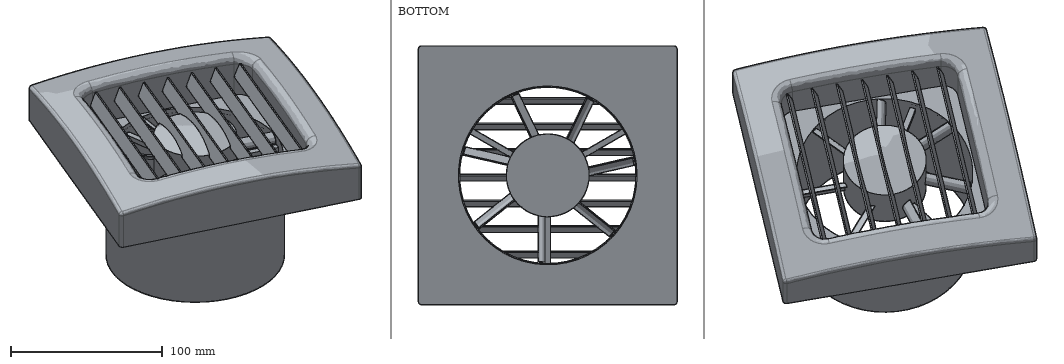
import cadquery as cq
import math

pipe_length = 74.9
pipe_outer_radius = 59.0
pipe_inner_radius = 58.1

frame_side = 171.0
frame_base_z = pipe_length
dome_radius = 564.3
dome_crest_z = 114.2
frame_edge_radius = 2.4
floor_thickness = 3.6

opening_side = 118.7
opening_corner_radius = 9.4
rim_radius = 5.6

slat_count = 7
slat_pitch = 17.0
slat_row_centre_y = 1.5
slat_top_z = 102.6
slat_height = 10.0
slat_lean = 3.6
slat_thickness = 1.0
slat_embed = 0.9

hub_radius = 27.4
hub_bottom_z = 61.5
hub_rim_z = 94.0
hub_cap_rise = 4.3

blade_count = 7
blade_tip_radius = 57.3
blade_left_offset = 6.3
blade_arc_radius = 5.8
blade_thickness = 0.9
blade_top_z = 79.5

arm_count = 3
arm_width = 4.0
arm_height = 3.5
arm_top_z = 71.8
pipe_embed = 0.3

first_spoke_angle = 90.0
root_radius = hub_radius / 2


def make_pipe():
    height = pipe_length + floor_thickness
    return cq.Workplane("XY").circle(pipe_outer_radius).circle(pipe_inner_radius).extrude(height)


def make_frame():
    frame_top = dome_crest_z - frame_base_z
    block = (
        cq.Workplane("XY", origin=(0, 0, frame_base_z))
        .rect(frame_side, frame_side)
        .extrude(frame_top)
    )
    ball = (
        cq.Workplane("XY")
        .sphere(dome_radius)
        .rotate((0, 0, 0), (1, 0, 0), 90)
        .translate((0, 0, dome_crest_z - dome_radius))
    )
    opening = (
        cq.Workplane("XY", origin=(0, 0, frame_base_z + floor_thickness))
        .rect(opening_side, opening_side)
        .extrude(frame_top)
        .edges("|Z")
        .fillet(opening_corner_radius)
    )
    frame = block.edges("|Z").fillet(frame_edge_radius).intersect(ball)
    frame = frame.faces("%SPHERE").edges().fillet(frame_edge_radius)
    frame = frame.cut(opening)

    rim_half = opening_side / 2 + frame_edge_radius
    rim_zone = cq.selectors.BoxSelector(
        (-rim_half, -rim_half, slat_top_z), (rim_half, rim_half, dome_crest_z)
    )
    frame = frame.edges(rim_zone).fillet(rim_radius)
    duct_hole = cq.Workplane("XY").circle(pipe_inner_radius).extrude(dome_crest_z)
    return frame.cut(duct_hole)


def make_slats():
    length = opening_side + 2 * slat_embed
    half_lean = (slat_lean + slat_thickness) / 2
    profile = [
        (half_lean, slat_top_z),
        (half_lean - slat_thickness, slat_top_z),
        (-half_lean, slat_top_z - slat_height),
        (-half_lean + slat_thickness, slat_top_z - slat_height),
    ]
    slat = cq.Workplane("YZ").polyline(profile).close().extrude(length / 2, both=True)
    slats = cq.Workplane("XY")
    for index in range(slat_count):
        y = slat_row_centre_y + (index - (slat_count - 1) / 2) * slat_pitch
        slats = slats.add(slat.translate((0, y, 0)))
    return slats.combine()


def make_hub():
    half_section = (
        cq.Workplane("XZ")
        .moveTo(0, hub_bottom_z)
        .lineTo(hub_radius, hub_bottom_z)
        .lineTo(hub_radius, hub_rim_z)
    )
    cap_radius = (hub_radius**2 + hub_cap_rise**2) / (2 * hub_cap_rise)
    mid_x = hub_radius / 2
    mid_z = hub_rim_z + hub_cap_rise - cap_radius + math.sqrt(cap_radius**2 - mid_x**2)
    half_section = half_section.threePointArc((mid_x, mid_z), (0, hub_rim_z + hub_cap_rise)).close()
    return half_section.revolve(360, (0, 0, 0), (0, 1, 0))


def make_blade():
    inner_radius = blade_arc_radius - blade_thickness
    diagonal = math.sqrt(0.5)
    centre_z = blade_top_z - blade_arc_radius
    blade = (
        cq.Workplane("YZ", origin=(root_radius, blade_left_offset, centre_z))
        .moveTo(0, blade_arc_radius)
        .threePointArc(
            (-blade_arc_radius * diagonal, blade_arc_radius * diagonal), (-blade_arc_radius, 0)
        )
        .lineTo(-inner_radius, 0)
        .threePointArc((-inner_radius * diagonal, inner_radius * diagonal), (0, inner_radius))
        .close()
        .extrude(blade_tip_radius)
    )
    tip_circle = cq.Workplane("XY").circle(blade_tip_radius).extrude(dome_crest_z)
    return blade.intersect(tip_circle)


def make_arm():
    length = pipe_inner_radius + pipe_embed - root_radius
    return (
        cq.Workplane("XY")
        .box(length, arm_width, arm_height, centered=(False, True, False))
        .translate((root_radius, 0, arm_top_z - arm_height))
    )


def spoke_ring(spoke, count):
    ring = cq.Workplane("XY")
    for index in range(count):
        angle = first_spoke_angle + index * 360 / count
        ring = ring.add(spoke.rotate((0, 0, 0), (0, 0, 1), angle))
    return ring.combine()


result = (
    make_frame()
    .union(make_pipe())
    .union(make_slats())
    .union(make_hub())
    .union(spoke_ring(make_blade(), blade_count))
    .union(spoke_ring(make_arm(), arm_count))
)